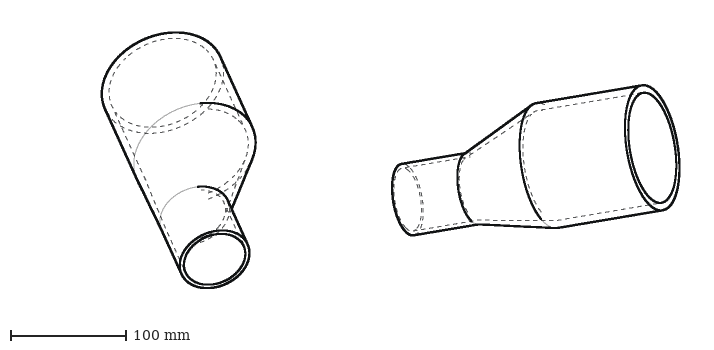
import cadquery as cq

total_length = 246.0
large_length = 101.0
small_length = 62.7
cone_length = total_length - large_length - small_length

large_outer = 110.0
large_bore = 96.7
small_outer = 63.0
small_bore = 55.4

offset_y = -(large_outer - small_outer) / 2


def eccentric_reducer(large_diameter, small_diameter):
    """Solid large cylinder, slanted cone and offset small cylinder along X."""
    large_end = cq.Workplane("YZ").circle(large_diameter / 2).extrude(large_length)
    cone = (
        cq.Workplane("YZ", origin=(large_length, 0, 0))
        .circle(large_diameter / 2)
        .workplane(offset=cone_length)
        .center(offset_y, 0)
        .circle(small_diameter / 2)
        .loft(ruled=True)
    )
    small_end = (
        cq.Workplane("YZ", origin=(large_length + cone_length, offset_y, 0))
        .circle(small_diameter / 2)
        .extrude(small_length)
    )
    return large_end.union(cone).union(small_end)


outer_body = eccentric_reducer(large_outer, small_outer)
flow_passage = eccentric_reducer(large_bore, small_bore)
result = outer_body.cut(flow_passage)